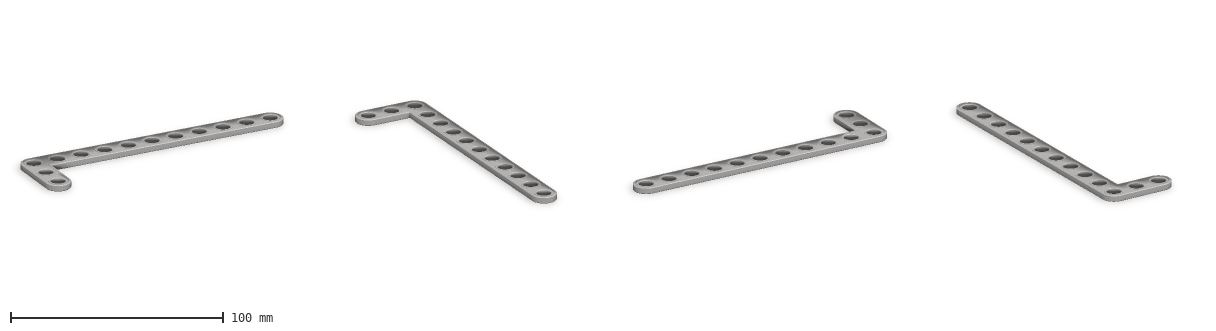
import cadquery as cq

overall_length = 137.5
long_arm_holes = 11
short_arm_holes = 3
thickness = 3.2
hole_diameter = 7.0
collar_diameter = 9.2
rim_width = 1.1
recess_depth = 0.2
edge_chamfer = 0.3

pitch = overall_length / long_arm_holes
half_width = pitch / 2
long_arm_span = (long_arm_holes - 1) * pitch
short_arm_span = (short_arm_holes - 1) * pitch

long_arm_centres = [(0, i * pitch) for i in range(long_arm_holes)]
short_arm_centres = [(i * pitch, 0) for i in range(1, short_arm_holes)]
hole_centres = long_arm_centres + short_arm_centres


def angle_plate(inset, bottom, height):
    """L-shaped plate with rounded ends and outer corner, its outline moved inward by inset."""
    reach = half_width - inset
    return (
        cq.Workplane("XY", origin=(0, 0, bottom))
        .moveTo(-reach, 0)
        .lineTo(-reach, long_arm_span)
        .threePointArc((0, long_arm_span + reach), (reach, long_arm_span))
        .lineTo(reach, reach)
        .lineTo(short_arm_span, reach)
        .threePointArc((short_arm_span + reach, 0), (short_arm_span, -reach))
        .lineTo(0, -reach)
        .radiusArc((-reach, 0), reach)
        .close()
        .extrude(height)
    )


def discs_at_holes(diameter, bottom, height):
    """Equal round discs standing on every hole centre."""
    return (
        cq.Workplane("XY", origin=(0, 0, bottom))
        .pushPoints(hole_centres)
        .circle(diameter / 2)
        .extrude(height)
    )


holes = discs_at_holes(hole_diameter, 0, thickness)
drilled_plate = angle_plate(0, 0, thickness).cut(holes)
chamfered_plate = drilled_plate.faces("<Z or >Z").chamfer(edge_chamfer)

floor_level = thickness - recess_depth
collars = discs_at_holes(collar_diameter, floor_level, recess_depth)
recess = angle_plate(rim_width, floor_level, recess_depth).cut(collars)

result = chamfered_plate.cut(recess)